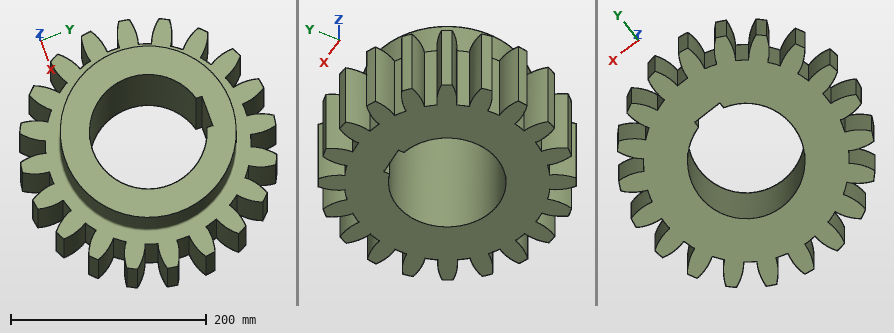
import cadquery as cq
import math

tooth_count = 20
tooth_pitch_angle = 360 / tooth_count
root_radius = 105.2
face_width = 85.0

space_half_root = 6.5
space_half_middle = 9.0
space_half_mouth = 15.2
flank_middle_radius = 118.3

overall_width = 262.2
tip_radius = math.hypot(overall_width / 2, space_half_mouth)

total_height = 140.0
hub_radius = 90.0
hub_fillet = 2.0
bore_radius = 60.0
keyway_width = 32.5
keyway_top = 64.2


def flank_point(radius, half_width, side, space_angle):
    """Point on one flank (side -1 or 1) of the tooth space centred on space_angle degrees."""
    angle = math.radians(space_angle) + side * math.asin(half_width / radius)
    return radius * math.cos(angle), radius * math.sin(angle)


def arc_point(radius, angle):
    """Point on a circle about the gear axis, at an angle in degrees."""
    return radius * math.cos(math.radians(angle)), radius * math.sin(math.radians(angle))


def make_gear():
    """Toothed disc with a tooth space centred on each of the X and Y axes."""
    outline = cq.Workplane("XY").moveTo(*flank_point(tip_radius, space_half_mouth, -1, 0))
    for index in range(tooth_count):
        space_angle = index * tooth_pitch_angle
        next_space = space_angle + tooth_pitch_angle
        tooth_angle = space_angle + tooth_pitch_angle / 2
        outline = outline.threePointArc(
            flank_point(flank_middle_radius, space_half_middle, -1, space_angle),
            flank_point(root_radius, space_half_root, -1, space_angle),
        )
        outline = outline.threePointArc(
            arc_point(root_radius, space_angle),
            flank_point(root_radius, space_half_root, 1, space_angle),
        )
        outline = outline.threePointArc(
            flank_point(flank_middle_radius, space_half_middle, 1, space_angle),
            flank_point(tip_radius, space_half_mouth, 1, space_angle),
        )
        outline = outline.threePointArc(
            arc_point(tip_radius, tooth_angle),
            flank_point(tip_radius, space_half_mouth, -1, next_space),
        )
    return outline.close().extrude(face_width)


def make_hub():
    """Hub through the full height, flared by a fillet where it meets the gear face."""
    return (
        cq.Workplane("XZ")
        .lineTo(hub_radius + hub_fillet, 0)
        .lineTo(hub_radius + hub_fillet, face_width)
        .radiusArc((hub_radius, face_width + hub_fillet), hub_fillet)
        .lineTo(hub_radius, total_height)
        .lineTo(0, total_height)
        .close()
        .revolve(360, (0, 0, 0), (0, 1, 0))
    )


def make_bore():
    """Through bore with a rectangular keyway on its +Y side."""
    bore = cq.Workplane("XY").circle(bore_radius).extrude(total_height)
    keyway = (
        cq.Workplane("XY")
        .center(0, keyway_top / 2)
        .rect(keyway_width, keyway_top)
        .extrude(total_height)
    )
    return bore.union(keyway)


result = make_gear().union(make_hub()).cut(make_bore())